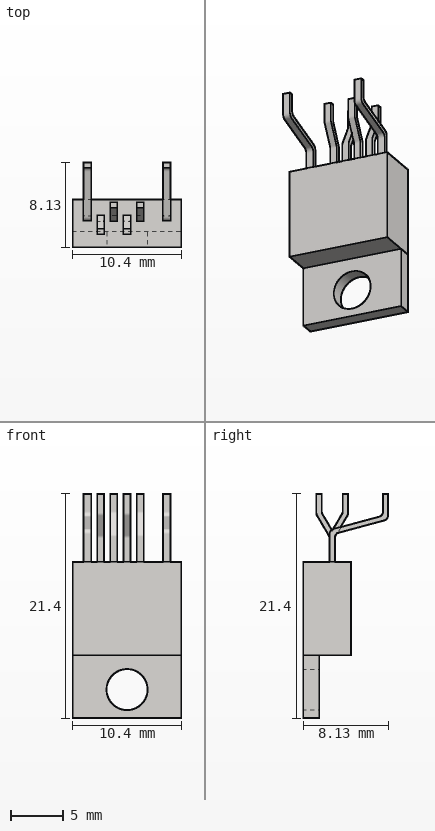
import cadquery as cq
import math

TOTAL_HEIGHT = 21.45
WIDTH = 10.4

TAB_HEIGHT = 6.0
TAB_THICKNESS = 1.57
HOLE_DIAMETER = 3.9
HOLE_HEIGHT = 2.72

HOUSING_TOP = 14.92
HOUSING_DEPTH = 4.59

LEAD_PITCH = 1.26
LEAD_ROW_Y = 2.79
BEND_RADIUS = 0.5

LONG_PITCH_STEPS = (-3, 3)
LONG_WIDTH = 0.75
LONG_THICKNESS = 0.5
LONG_BACK_Y = 8.13
LONG_TIP_Y = LONG_BACK_Y - LONG_THICKNESS / 2
LONG_UPPER_BEND_Z = TOTAL_HEIGHT - 2.27
LONG_LOWER_BEND_Z = TOTAL_HEIGHT - 3.65

FRONT_PITCH_STEPS = (-2, 0)
BACK_PITCH_STEPS = (-1, 1)
SHORT_WIDTH = 0.69
SHORT_THICKNESS = 0.54
SHORT_OFFSET = LEAD_PITCH
SHORT_UPPER_BEND_Z = TOTAL_HEIGHT - 1.89
SHORT_LOWER_BEND_Z = TOTAL_HEIGHT - 4.03


def make_lead(pitch_step, width, thickness, tip_y, lower_bend_z, upper_bend_z):
    """Flat lead of constant thickness that rises, leans over to tip_y and rises again."""
    half = thickness / 2
    lean = math.atan2(tip_y - LEAD_ROW_Y, upper_bend_z - lower_bend_z)
    miter = half * math.tan(lean / 2)
    outline = [
        (LEAD_ROW_Y - half, HOUSING_TOP),
        (LEAD_ROW_Y - half, lower_bend_z + miter),
        (tip_y - half, upper_bend_z + miter),
        (tip_y - half, TOTAL_HEIGHT),
        (tip_y + half, TOTAL_HEIGHT),
        (tip_y + half, upper_bend_z - miter),
        (LEAD_ROW_Y + half, lower_bend_z - miter),
        (LEAD_ROW_Y + half, HOUSING_TOP),
    ]
    lead = cq.Workplane("YZ").polyline(outline).close().extrude(width / 2, both=True)
    lead = lead.edges("(|X) and (not >Z) and (not <Z)").fillet(BEND_RADIUS)
    return lead.translate((pitch_step * LEAD_PITCH, 0, 0))


def make_long_lead(pitch_step):
    return make_lead(
        pitch_step, LONG_WIDTH, LONG_THICKNESS, LONG_TIP_Y, LONG_LOWER_BEND_Z, LONG_UPPER_BEND_Z
    )


def make_short_lead(pitch_step, offset):
    return make_lead(
        pitch_step, SHORT_WIDTH, SHORT_THICKNESS, LEAD_ROW_Y + offset,
        SHORT_LOWER_BEND_Z, SHORT_UPPER_BEND_Z,
    )


def make_housing():
    """Moulded block together with its six leads, as one solid."""
    housing = (
        cq.Workplane("XY", origin=(0, 0, TAB_HEIGHT))
        .box(WIDTH, HOUSING_DEPTH, HOUSING_TOP - TAB_HEIGHT, centered=(True, False, False))
    )
    for step in LONG_PITCH_STEPS:
        housing = housing.union(make_long_lead(step))
    for step in FRONT_PITCH_STEPS:
        housing = housing.union(make_short_lead(step, -SHORT_OFFSET))
    for step in BACK_PITCH_STEPS:
        housing = housing.union(make_short_lead(step, SHORT_OFFSET))
    return housing


def make_tab():
    """Mounting plate below the housing, flush with its front, with a screw hole through it."""
    plate = cq.Workplane("XY").box(WIDTH, TAB_THICKNESS, TAB_HEIGHT, centered=(True, False, False))
    hole = (
        cq.Workplane("XZ", origin=(0, 0, HOLE_HEIGHT))
        .circle(HOLE_DIAMETER / 2)
        .extrude(-TAB_THICKNESS)
    )
    return plate.cut(hole)


housing = make_housing()
tab = make_tab()

result = cq.Compound.makeCompound([housing.solids().val(), tab.solids().val()])